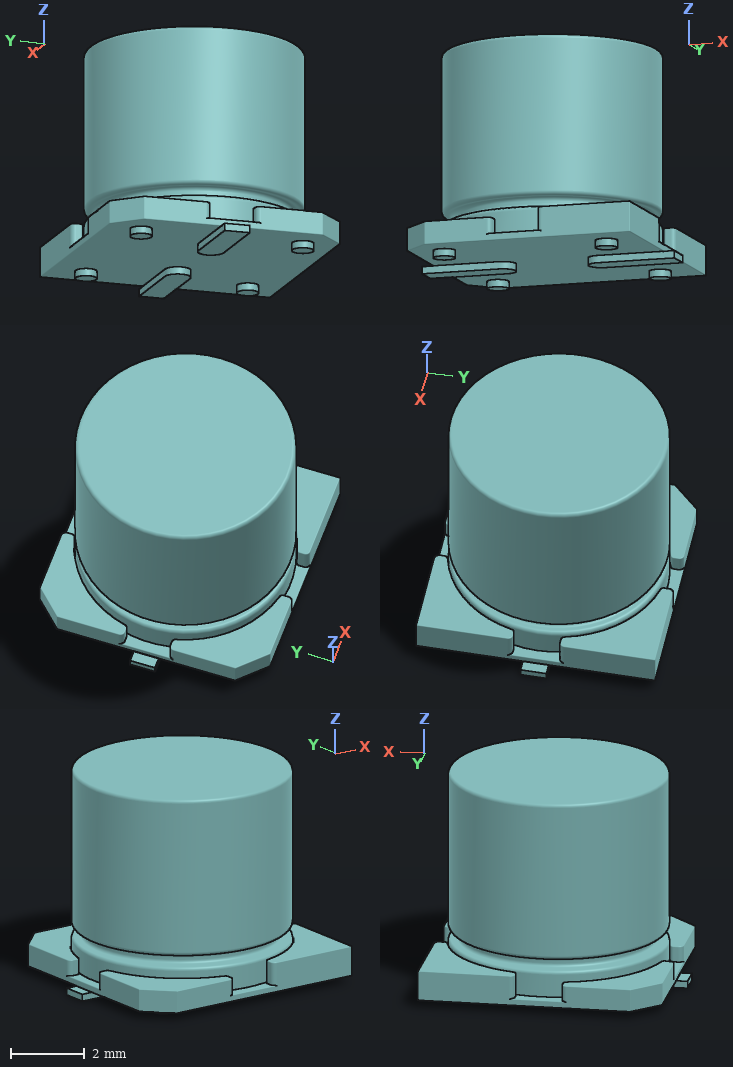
import cadquery as cq
import math

total_height = 5.9
lead_span = 7.2
base_side = 6.6
edge_round = 0.03

foot_height = 0.2
lead_width = 0.72
lead_inner_end = 1.045
pin_diameter = 0.6
pin_offset = 2.31

floor_z = 0.4
low_block_top = 0.85
high_block_top = 1.05
corner_cut = 0.75
gap_half_width = 0.65
pocket_radius = 3.025
block_outer_round = 0.14
block_inner_round = 0.1

can_radius = 6.0 / 2
groove_radius = 5.4 / 2
groove_z = 1.3
groove_flat = 0.065
bend_radius = 0.115

half_base = base_side / 2


def base_outline(bottom, top):
    """Upright prism of the base, with its two -X corners cut off and its upright edges rounded."""
    return (
        cq.Workplane("XY", origin=(0, 0, bottom))
        .rect(base_side, base_side)
        .extrude(top - bottom)
        .edges("|Z and <X")
        .chamfer(corner_cut)
        .edges("|Z")
        .fillet(edge_round)
    )


def corner_block(side_x, side_y, top):
    """Raised block that hugs the can in one corner of the base."""
    bottom = foot_height + edge_round
    block_side = half_base - gap_half_width
    middle = gap_half_width + block_side / 2
    quadrant = (
        cq.Workplane("XY", origin=(side_x * middle, side_y * middle, bottom))
        .rect(block_side, block_side)
        .extrude(top - bottom)
    )
    pocket = cq.Workplane("XY").circle(pocket_radius).extrude(total_height)
    block = base_outline(bottom, top).intersect(quadrant).cut(pocket)

    pocket_reach = math.sqrt(pocket_radius**2 - gap_half_width**2)
    for reach, radius in ((half_base, block_outer_round), (pocket_reach, block_inner_round)):
        for x, y in ((gap_half_width, reach), (reach, gap_half_width)):
            near_edge = cq.selectors.NearestToPointSelector(
                (side_x * x, side_y * y, (bottom + top) / 2)
            )
            block = block.edges("|Z").edges(near_edge).fillet(radius)
    return block.faces(">Z").fillet(edge_round)


def make_base():
    """Thin floor plate with lower blocks on the -X side and higher ones on the +X side."""
    base = base_outline(foot_height, floor_z).faces(">Z or <Z").fillet(edge_round)
    for side_x, top in ((-1, low_block_top), (1, high_block_top)):
        for side_y in (-1, 1):
            base = base.union(corner_block(side_x, side_y, top))
    return base


def make_can():
    """Closed can with a rounded top rim and a rolled groove near its foot."""
    b = bend_radius
    s = b * math.sqrt(0.5)
    half_flat = groove_flat / 2
    lower_lip = groove_z - half_flat - b
    upper_lip = groove_z + half_flat + b
    return (
        cq.Workplane("XZ")
        .moveTo(0, floor_z)
        .lineTo(can_radius, floor_z)
        .lineTo(can_radius, lower_lip - b)
        .threePointArc((can_radius - b + s, lower_lip - b + s), (can_radius - b, lower_lip))
        .lineTo(groove_radius + b, lower_lip)
        .threePointArc(
            (groove_radius + b - s, lower_lip + b - s), (groove_radius, groove_z - half_flat)
        )
        .lineTo(groove_radius, groove_z + half_flat)
        .threePointArc(
            (groove_radius + b - s, upper_lip - b + s), (groove_radius + b, upper_lip)
        )
        .lineTo(can_radius - b, upper_lip)
        .threePointArc((can_radius - b + s, upper_lip + b - s), (can_radius, upper_lip + b))
        .lineTo(can_radius, total_height - b)
        .threePointArc(
            (can_radius - b + s, total_height - b + s), (can_radius - b, total_height)
        )
        .lineTo(0, total_height)
        .close()
        .revolve(360, (0, 0, 0), (0, 1, 0))
    )


def make_feet():
    """Four round pins and two flat leads whose inner ends are half circles."""
    pins = (
        cq.Workplane("XY")
        .rect(2 * pin_offset, 2 * pin_offset, forConstruction=True)
        .vertices()
        .circle(pin_diameter / 2)
        .extrude(foot_height)
    )
    half_width = lead_width / 2
    lead = (
        cq.Workplane("XY")
        .moveTo(lead_span / 2, half_width)
        .lineTo(lead_inner_end + half_width, half_width)
        .threePointArc((lead_inner_end, 0), (lead_inner_end + half_width, -half_width))
        .lineTo(lead_span / 2, -half_width)
        .close()
        .extrude(foot_height)
    )
    return pins.union(lead).union(lead.mirror("YZ"))


result = make_base().union(make_can()).union(make_feet())